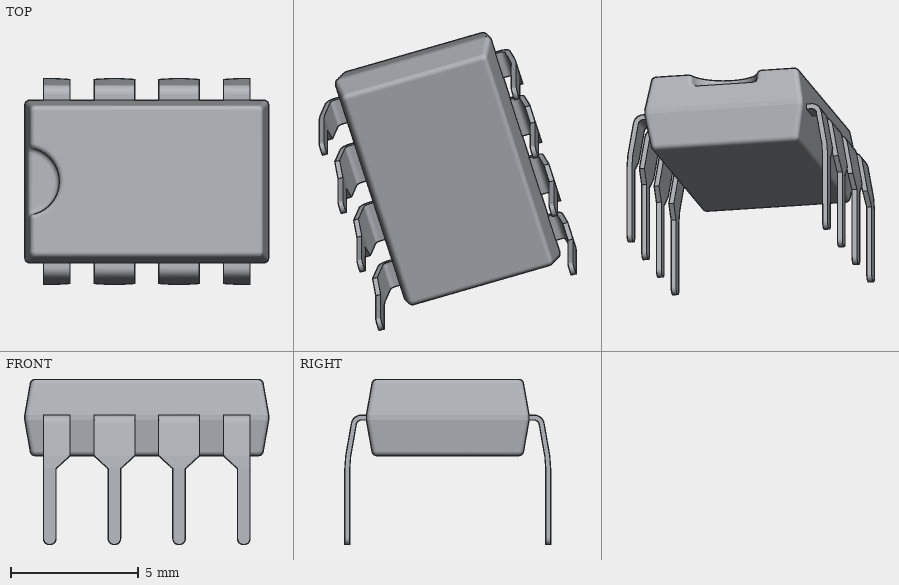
import cadquery as cq
import math


body_length = 9.6
body_width = 6.4
body_height = 3.0
draft_angle = 10.0
edge_radius = 0.2

notch_radius = 1.32
notch_depth = 0.5
notch_center_inset = 0.04

lead_thickness = 0.2
lead_span = 8.1
lead_pitch = 2.54
pins_per_row = 4
shoulder_width = 1.6
pin_width = 0.5
tip_radius = 0.24
bend_radius = 0.4
leg_angle = 10.0
taper_angle = 4.0
taper_height = 0.51
overall_height = 6.5

half_height = body_height / 2
half_band = lead_thickness / 2
shoulder_z = -half_height
taper_end_z = shoulder_z - taper_height
tip_z = half_height - overall_height


def drafted_half(direction):
    """Half of the body, from the band edge outward along +Z (1) or -Z (-1)."""
    return (
        cq.Workplane("XY")
        .workplane(offset=direction * half_band)
        .rect(body_length, body_width)
        .extrude(direction * (half_height - half_band), taper=draft_angle)
    )


def make_body():
    band = cq.Workplane("XY").box(body_length, body_width, lead_thickness)
    body = band.union(drafted_half(1)).union(drafted_half(-1))
    body = body.edges("not(#Z)").fillet(edge_radius)
    body = body.faces("<Z").edges().fillet(edge_radius)

    notch = (
        cq.Workplane("XY")
        .workplane(offset=half_height - notch_depth)
        .center(notch_center_inset - body_length / 2, 0)
        .circle(notch_radius)
        .extrude(notch_depth)
        .faces("<Z")
        .edges()
        .fillet(edge_radius)
    )
    body = body.cut(notch)

    opening = cq.selectors.BoxSelector(
        (-body_length / 2, -notch_radius - edge_radius, half_height - notch_depth - edge_radius),
        (notch_center_inset + edge_radius - body_length / 2, notch_radius + edge_radius, half_height),
    )
    rim = body.edges(opening).add(body.faces(">Z").edges())
    return rim.fillet(edge_radius)


def lead_side_profile():
    """Bent strip in the YZ plane, from mid-body to the tip at +Y."""
    leg = math.radians(leg_angle)
    taper = math.radians(taper_angle)
    half_span = lead_span / 2

    shoulder_y = half_span - taper_height * math.tan(taper)
    bend_end_z = half_band - bend_radius * (1 - math.sin(leg))
    bend_end_y = shoulder_y - (bend_end_z - shoulder_z) * math.tan(leg)
    bend_y = bend_end_y - bend_radius * math.cos(leg)
    bend_z = half_band - bend_radius

    mid = (leg + math.pi / 2) / 2
    inner_radius = bend_radius - lead_thickness

    def on_bend(radius, angle):
        return (bend_y + radius * math.cos(angle), bend_z + radius * math.sin(angle))

    def inner_corner(y, z, lean_above, lean_below):
        """Mitred inner-face corner opposite an outer-face corner."""
        lean = (lean_above + lean_below) / 2
        offset = lead_thickness / math.cos((lean_above - lean_below) / 2)
        return (y - offset * math.cos(lean), z - offset * math.sin(lean))

    return (
        cq.Workplane("YZ")
        .moveTo(0, half_band)
        .lineTo(bend_y, half_band)
        .threePointArc(on_bend(bend_radius, mid), (bend_end_y, bend_end_z))
        .lineTo(shoulder_y, shoulder_z)
        .lineTo(half_span, taper_end_z)
        .lineTo(half_span, tip_z)
        .lineTo(half_span - lead_thickness, tip_z)
        .lineTo(*inner_corner(half_span, taper_end_z, taper, 0))
        .lineTo(*inner_corner(shoulder_y, shoulder_z, leg, taper))
        .lineTo(*on_bend(inner_radius, leg))
        .threePointArc(on_bend(inner_radius, mid), (bend_y, bend_z + inner_radius))
        .lineTo(0, -half_band)
        .close()
    )


def make_lead(pin_x, left_reach, right_reach):
    """Lead whose shoulder reaches the given distances either side of the pin axis."""
    half_pin = pin_width / 2
    strip = lead_side_profile().extrude(left_reach + right_reach)
    strip = strip.translate((pin_x - left_reach, 0, 0))

    outline = [(-left_reach, half_band), (-left_reach, shoulder_z), (-half_pin, taper_end_z)]
    outline += [(-half_pin, tip_z), (half_pin, tip_z)]
    outline += [(half_pin, taper_end_z), (right_reach, shoulder_z), (right_reach, half_band)]
    front = (
        cq.Workplane("XZ", origin=(pin_x, 0, 0))
        .polyline(outline)
        .close()
        .extrude(-lead_span / 2)
    )
    return strip.intersect(front).faces("<Z").edges("|Y").fillet(tip_radius)


result = make_body()
for index in range(pins_per_row):
    x = (index - (pins_per_row - 1) / 2) * lead_pitch
    left = pin_width / 2 if index == 0 else shoulder_width / 2
    right = pin_width / 2 if index == pins_per_row - 1 else shoulder_width / 2
    lead = make_lead(x, left, right)
    result = result.union(lead).union(lead.mirror("XZ"))